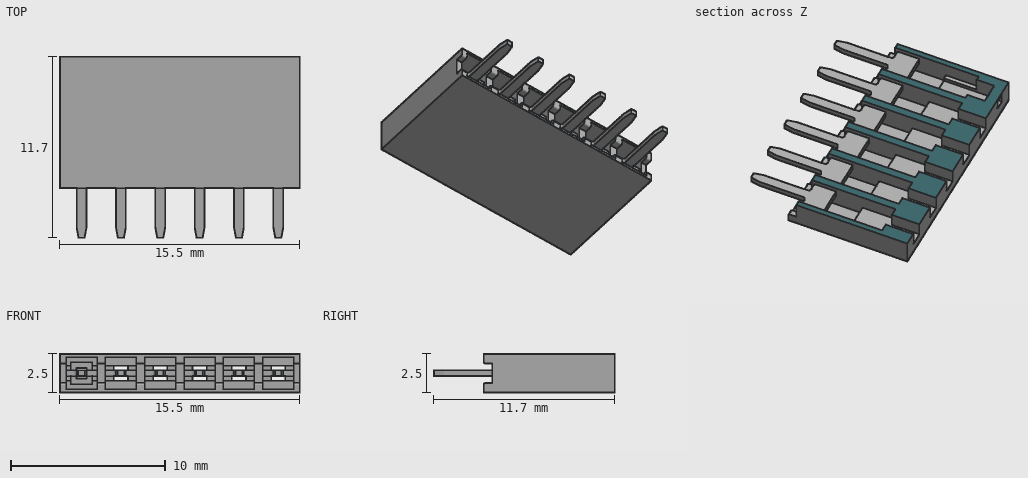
import cadquery as cq

length = 15.49
height = 2.5
housing_depth = 8.49

contact_count = 6
pitch = 2.54

notch_depth = 0.55
notch_height = 1.25
notch_lip_radius = 0.14

pocket_width = 2.0
pocket_height = 2.06
pocket_depth = 4.18

slot_height = 0.95
slot_depth = 6.5

socket_width = 0.9
first_cavity_width = 1.41
first_cavity_depth = 7.75
first_socket_width = 0.65

contact_thickness = 0.39
plate_front = 0.75
plate_length = 1.55
pin_width = 0.65
pin_reach = 3.2
pin_taper_length = 0.67
pin_tip_width = 0.4
pin_root_radius = 0.19

contact_positions = [(i - (contact_count - 1) / 2) * pitch for i in range(contact_count)]


def block(x, width, block_height, y_start, y_end):
    """Box centred on x and on mid-height, spanning y_start to y_end."""
    return (
        cq.Workplane("XY")
        .box(width, y_end - y_start, block_height, centered=(True, False, True))
        .translate((x, y_start, 0))
    )


def make_housing():
    """Rectangular body with a full-length notch whose lips are rounded."""
    body = block(0, length, height, 0, housing_depth)
    body = body.cut(block(0, length, notch_height, 0, notch_depth))
    lip_zone = cq.selectors.BoxSelector(
        (-length, -notch_depth, -pocket_height / 2),
        (length, notch_depth, pocket_height / 2),
    )
    notch_lips = body.faces("<Y").edges("|X").edges(lip_zone)
    return notch_lips.fillet(notch_lip_radius)


def make_cavity(index, x):
    """Pocket, slot and socket opening; the first contact has a square chamber and smaller socket."""
    cavity = block(x, pocket_width, pocket_height, 0, pocket_depth)
    cavity = cavity.union(block(x, pocket_width, slot_height, 0, slot_depth))
    if index == 0:
        chamber = block(x, first_cavity_width, first_cavity_width, 0, first_cavity_depth)
        socket = block(x, first_socket_width, first_socket_width, 0, housing_depth)
        return cavity.union(chamber).union(socket)
    socket = block(x, socket_width, slot_height, 0, housing_depth)
    return cavity.union(socket)


def make_contact(x):
    """Plate spanning the pocket, with rounded corners where the tapered pin leaves it."""
    half_plate = pocket_width / 2
    half_pin = pin_width / 2
    half_tip = pin_tip_width / 2
    plate_back = plate_front + plate_length
    taper_start = pin_taper_length - pin_reach
    root_start = plate_front - pin_root_radius
    half_root = half_pin + pin_root_radius
    profile = (
        cq.Workplane("XY")
        .moveTo(-half_plate, plate_back)
        .lineTo(-half_plate, plate_front)
        .lineTo(-half_root, plate_front)
        .radiusArc((-half_pin, root_start), pin_root_radius)
        .lineTo(-half_pin, taper_start)
        .lineTo(-half_tip, -pin_reach)
        .lineTo(half_tip, -pin_reach)
        .lineTo(half_pin, taper_start)
        .lineTo(half_pin, root_start)
        .radiusArc((half_root, plate_front), pin_root_radius)
        .lineTo(half_plate, plate_front)
        .lineTo(half_plate, plate_back)
        .close()
    )
    return profile.extrude(contact_thickness / 2, both=True).translate((x, 0, 0))


result = make_housing()
for index, x in enumerate(contact_positions):
    result = result.cut(make_cavity(index, x))
    result = result.union(make_contact(x))